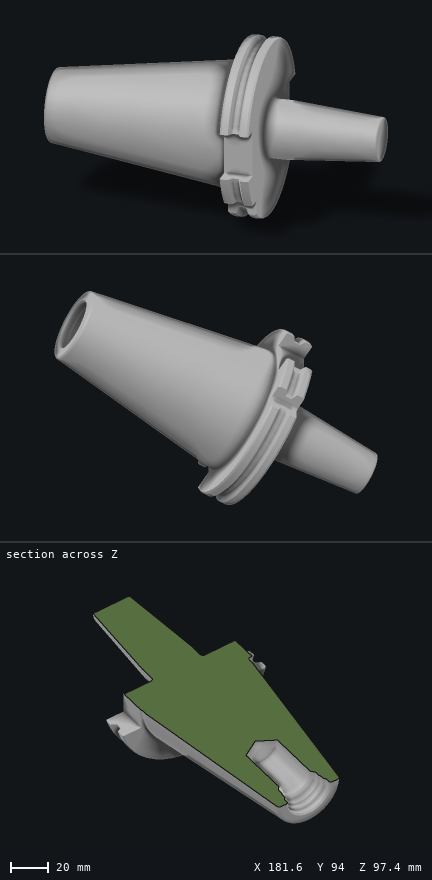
import cadquery as cq
import math

overall_length = 181.6
gauge_x = 101.7
gauge_radius = 34.9
taper_ratio = 7 / 48
shank_end_round = 1.8
shoulder_start_x = 100.6
shoulder_drop = 0.09
flange_fillet = 0.9

flange_start_x = 104.8
flange_width = 15.8
flange_radius = 48.7
flange_edge_width = 1.0
flange_edge_drop = 0.5
flange_end_x = flange_start_x + flange_width

groove_center_x = 112.8
groove_root_radius = 45.8
groove_root_width = 3.5
groove_wall_angle = 30.0

slot_width = 25.6
front_slot_floor = 37.6
back_slot_floor = 35.2

notch_corner = 30.0
notch_corner_round = 1.6

nose_radius = 16.0
nose_cone_start_x = 130.8
nose_tip_radius = 12.0
nose_tip_round = 0.9
nose_root_round = 1.6

mouth_radius = 14.5
recess_radius = 13.6
recess_depth = 3.8
pilot_radius = 12.5
pilot_start = 4.7
pilot_depth = 7.6
thread_radius = 12.0
thread_depth = 11.5
core_radius = 10.2
core_start = 13.6
core_depth = 43.5
drill_point_angle = 118.0


def make_body():
    """Revolved shank, flange and nose."""
    end_radius = gauge_radius - shoulder_drop - shoulder_start_x * taper_ratio
    edge_radius = flange_radius - flange_edge_drop
    root_half = groove_root_width / 2
    groove_depth = flange_radius - groove_root_radius
    rim_half = root_half + groove_depth * math.tan(math.radians(groove_wall_angle))
    profile = (
        cq.Workplane("XY")
        .moveTo(0, 0)
        .lineTo(0, end_radius)
        .lineTo(shoulder_start_x, gauge_radius - shoulder_drop)
        .lineTo(gauge_x, gauge_radius)
        .lineTo(flange_start_x - flange_fillet, gauge_radius)
        .radiusArc((flange_start_x, gauge_radius + flange_fillet), -flange_fillet)
        .lineTo(flange_start_x, edge_radius)
        .lineTo(flange_start_x + flange_edge_width, flange_radius)
        .lineTo(groove_center_x - rim_half, flange_radius)
        .lineTo(groove_center_x - root_half, groove_root_radius)
        .lineTo(groove_center_x + root_half, groove_root_radius)
        .lineTo(groove_center_x + rim_half, flange_radius)
        .lineTo(flange_end_x - flange_edge_width, flange_radius)
        .lineTo(flange_end_x, edge_radius)
        .lineTo(flange_end_x, nose_radius + nose_root_round)
        .radiusArc((flange_end_x + nose_root_round, nose_radius), -nose_root_round)
        .lineTo(nose_cone_start_x, nose_radius)
        .lineTo(overall_length, nose_tip_radius)
        .lineTo(overall_length, 0)
        .close()
    )
    body = profile.revolve(360, (0, 0, 0), (1, 0, 0))
    body = body.faces("<X").edges().fillet(shank_end_round)
    return body.faces(">X").edges().fillet(nose_tip_round)


def make_drawbar_hole():
    """Revolved cutter for the stepped hole, ending in a drill point."""
    point_length = core_radius / math.tan(math.radians(drill_point_angle / 2))
    profile = (
        cq.Workplane("XY")
        .moveTo(0, 0)
        .lineTo(0, mouth_radius)
        .lineTo(mouth_radius - recess_radius, recess_radius)
        .lineTo(recess_depth, recess_radius)
        .lineTo(pilot_start, pilot_radius)
        .lineTo(pilot_depth, pilot_radius)
        .lineTo(pilot_depth + pilot_radius - thread_radius, thread_radius)
        .lineTo(thread_depth, thread_radius)
        .lineTo(core_start, core_radius)
        .lineTo(core_depth, core_radius)
        .lineTo(core_depth + point_length, 0)
        .close()
    )
    return profile.revolve(360, (0, 0, 0), (1, 0, 0))


def make_drive_slot(floor, side):
    """Block that cuts a drive slot; side is +1 for +Y and -1 for -Y."""
    return (
        cq.Workplane("XY")
        .box(flange_width, flange_radius, slot_width, centered=(False, False, True))
        .translate((flange_start_x, floor if side > 0 else -floor - flange_radius, 0))
    )


def make_notch():
    """Block that cuts the notch, with its inner corner rounded."""
    block = cq.Workplane("XY").box(flange_width, flange_radius, flange_radius, centered=False)
    block = block.edges("|X and >Y and >Z").fillet(notch_corner_round)
    shift = -notch_corner - flange_radius
    return block.translate((flange_start_x, shift, shift))


result = (
    make_body()
    .cut(make_drawbar_hole())
    .cut(make_drive_slot(front_slot_floor, -1))
    .cut(make_drive_slot(back_slot_floor, 1))
    .cut(make_notch())
)